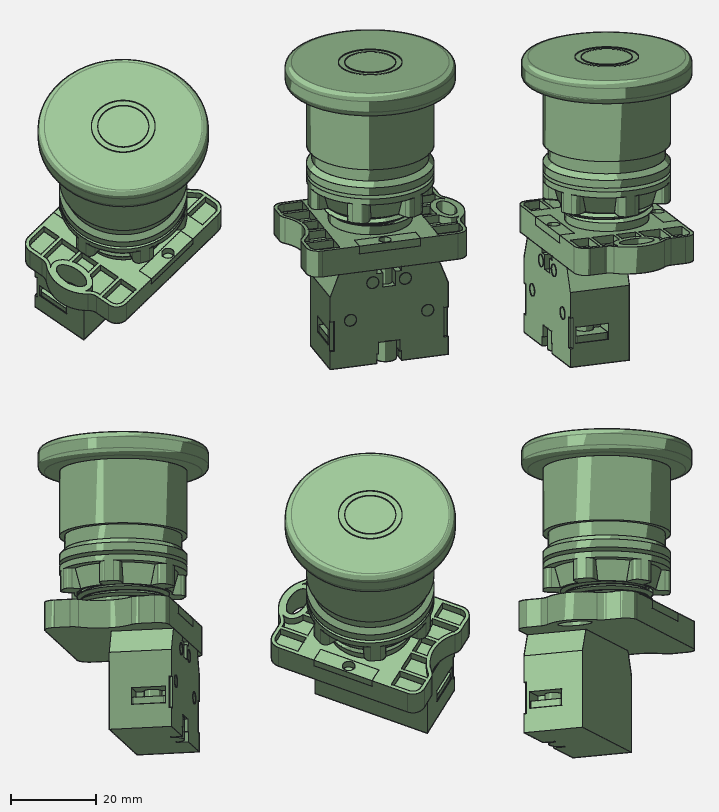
import cadquery as cq
import math


total_height = 70.5
cap_diameter = 40.0
total_depth = 42.8
cap_radius = cap_diameter / 2

plate_bottom_z = 24.0
plate_top_z = 30.6
nut_bottom_z = 35.6
nut_top_z = 41.95
collar_flange_z = 42.85
button_bottom_z = 49.4
cap_bottom_z = 64.85

body_radius = 29.95 / 2
cap_edge_radius = 1.5
ring_outer_radius = 7.5
ring_inner_radius = 6.0
ring_depth = 0.2

neck_radius = 13.75
flange_chamfer = body_radius - neck_radius
neck_bottom_z = 46.05
thread_radius = 10.85
stem_radius = 9.9
stem_shoulder_z = 37.4
thread_pitch = 1.5
thread_tooth_width = 1.4
thread_bottom_z = 32.9
thread_turns = 3
thread_root_sink = 0.1

nut_flange_thickness = 1.5
nut_hub_top_radius = 12.8
nut_hub_bottom_radius = 11.5
lug_count = 6
lug_width = 5.15
lug_edge_radius = 1.55

plate_width = 2 * body_radius
plate_half_depth = 19.7
plate_corner_radius = 2.95
lobe_radius = 9.65
lobe_tip_y = cap_radius - total_depth
lobe_center_y = lobe_tip_y + lobe_radius
wall_thickness = 0.9
pocket_depth = 2.0
pocket_inner_y = 12.1
rib_thickness = 0.85
rib_offsets = (-9.0, -2.8, 2.8, 9.0)
eye_half_length = 4.2
eye_half_width = 2.1
eye_rim = 1.5
eye_center_y = -18.8

clip_length = 15.1
clip_width = 3.75
clip_thickness = 2.0
clip_hole_diameter = 2.9
clip_hole_inset = 1.8
clip_hole_y = 0.6

block_left_x = -body_radius
block_width = 14.95
block_length = 29.1
block_center_y = 0.2
block_shoulder_z = 18.5
block_top_length = 24.9

post_inset = 2.9
upper_post_diameter = 3.1
upper_slot_bottom_z = 19.4
lower_post_diameter = 5.2
lower_slot_top_z = 5.35
step_width = 6.1
upper_step_height = 1.0
lower_step_height = 2.4

dimple_diameter = 2.95
dimple_depth = 0.15
upper_dimple_offset = 4.0
upper_dimple_z = 20.8
lower_dimple_offset = 9.5
lower_dimple_z = 11.9

notch_depth_x = 0.6
notch_depth_y = 1.05
notch_bottom_z = 4.6
notch_height = 7.55

terminal_width = 8.2
terminal_center_x = -9.45
terminal_bottom_z = 5.8
terminal_height = 3.95
terminal_depth = 4.9
clamp_height = 1.7
clamp_inset = 0.2
clamp_edge_radius = 0.5
terminal_screw_diameter = 4.2


def disc(radius, bottom_z, top_z):
    """Cylinder on the button axis between two heights."""
    return cq.Workplane("XY", origin=(0, 0, bottom_z)).circle(radius).extrude(top_z - bottom_z)


def block_of(x_range, y_range, z_range):
    """Box between the given lower and upper bounds on each axis."""
    (x0, x1), (y0, y1), (z0, z1) = x_range, y_range, z_range
    return cq.Workplane("XY").box(x1 - x0, y1 - y0, z1 - z0, centered=False).translate((x0, y0, z0))


def make_button():
    cap = disc(cap_radius, cap_bottom_z, total_height).edges().fillet(cap_edge_radius)
    ring_groove = disc(ring_outer_radius, total_height - ring_depth, total_height).cut(
        disc(ring_inner_radius, total_height - ring_depth, total_height)
    )
    return cap.union(disc(body_radius, button_bottom_z, cap_bottom_z)).cut(ring_groove)


def make_thread():
    """Helical ridge around the stem, trimmed flat where it starts."""
    start_z = thread_bottom_z - 0.75 * thread_pitch
    height = thread_turns * thread_pitch
    root_radius = stem_radius - thread_root_sink
    helix = cq.Wire.makeHelix(thread_pitch, height, root_radius)
    tooth = (
        cq.Workplane("XZ")
        .moveTo(root_radius, -thread_tooth_width / 2)
        .lineTo(thread_radius, 0)
        .lineTo(root_radius, thread_tooth_width / 2)
        .close()
        .sweep(cq.Workplane(obj=helix), isFrenet=True)
        .translate((0, 0, start_z))
    )
    return tooth.intersect(disc(body_radius, thread_bottom_z, stem_shoulder_z))


def make_collar():
    flange = disc(body_radius, collar_flange_z, neck_bottom_z).faces(">Z").edges().chamfer(flange_chamfer)
    neck = disc(neck_radius, neck_bottom_z, button_bottom_z)
    shoulder = disc(thread_radius, stem_shoulder_z, collar_flange_z)
    stem = disc(stem_radius, plate_top_z, stem_shoulder_z)
    return stem.union(make_thread()).union(shoulder).union(flange).union(neck)


def make_lock_nut():
    lug_top_z = nut_top_z - nut_flange_thickness
    hub_height = lug_top_z - nut_bottom_z
    hub = (
        cq.Workplane("XY", origin=(0, 0, nut_bottom_z))
        .circle(nut_hub_bottom_radius)
        .workplane(offset=hub_height)
        .circle(nut_hub_top_radius)
        .loft(ruled=True)
    )
    nut = disc(body_radius, lug_top_z, nut_top_z).union(hub)
    lug_envelope = block_of(
        (thread_radius, 2 * body_radius), (-lug_width / 2, lug_width / 2), (nut_bottom_z, lug_top_z)
    )
    lug = (
        disc(body_radius, nut_bottom_z, lug_top_z)
        .rotate((0, 0, 0), (0, 0, 1), 180)
        .intersect(lug_envelope)
        .edges("|Z")
        .edges(">X")
        .fillet(lug_edge_radius)
    )
    for index in range(lug_count):
        angle = (index + 0.5) * 360 / lug_count
        nut = nut.union(lug.rotate((0, 0, 0), (0, 0, 1), angle))
    return nut.cut(disc(thread_radius, nut_bottom_z, nut_top_z))


def plate_outline():
    """Plate outline: a lobe on the front edge and the same lobe cut into the back edge."""
    half_width = plate_width / 2
    blend_radius = plate_corner_radius
    blend_center_y = -plate_half_depth - blend_radius
    rise = lobe_center_y - blend_center_y
    blend_x = math.sqrt((lobe_radius + blend_radius) ** 2 - rise**2)
    contact_angle = math.atan2(rise, blend_x)
    lobe_x = lobe_radius * math.cos(contact_angle)
    lobe_y = lobe_center_y - lobe_radius * math.sin(contact_angle)
    mid_angle = (contact_angle + math.pi / 2) / 2
    blend_mid_x = blend_x - blend_radius * math.cos(mid_angle)
    blend_mid_y = blend_center_y + blend_radius * math.sin(mid_angle)
    back_shift = 2 * plate_half_depth
    corner_x = half_width - plate_corner_radius
    corner_y = plate_half_depth - plate_corner_radius
    corner_mid_x = corner_x + plate_corner_radius * math.sqrt(0.5)
    corner_mid_y = corner_y + plate_corner_radius * math.sqrt(0.5)
    return (
        cq.Workplane("XY", origin=(0, 0, plate_bottom_z))
        .moveTo(-corner_x, -plate_half_depth)
        .lineTo(-blend_x, -plate_half_depth)
        .threePointArc((-blend_mid_x, blend_mid_y), (-lobe_x, lobe_y))
        .threePointArc((0, lobe_tip_y), (lobe_x, lobe_y))
        .threePointArc((blend_mid_x, blend_mid_y), (blend_x, -plate_half_depth))
        .lineTo(corner_x, -plate_half_depth)
        .threePointArc((corner_mid_x, -corner_mid_y), (half_width, -corner_y))
        .lineTo(half_width, corner_y)
        .threePointArc((corner_mid_x, corner_mid_y), (corner_x, plate_half_depth))
        .lineTo(blend_x, plate_half_depth)
        .threePointArc((blend_mid_x, blend_mid_y + back_shift), (lobe_x, lobe_y + back_shift))
        .threePointArc((0, lobe_tip_y + back_shift), (-lobe_x, lobe_y + back_shift))
        .threePointArc((-blend_mid_x, blend_mid_y + back_shift), (-blend_x, plate_half_depth))
        .lineTo(-corner_x, plate_half_depth)
        .threePointArc((-corner_mid_x, corner_mid_y), (-half_width, corner_y))
        .lineTo(-half_width, -corner_y)
        .threePointArc((-corner_mid_x, -corner_mid_y), (-corner_x, -plate_half_depth))
        .close()
    )


def eye(margin):
    """Oval prism around the eyelet, as tall as the plate and larger than the hole by the margin."""
    return (
        cq.Workplane("XY", origin=(0, eye_center_y, plate_bottom_z))
        .ellipse(eye_half_length + margin, eye_half_width + margin)
        .extrude(plate_top_z - plate_bottom_z)
    )


def plate_pockets():
    """Rows of pockets along the front and back edges, split by ribs."""
    pocket_range = (plate_top_z - pocket_depth, plate_top_z)
    pockets = plate_outline().offset2D(-wall_thickness).extrude(plate_top_z - plate_bottom_z)
    pockets = pockets.intersect(
        block_of((-plate_width, plate_width), (-total_depth, total_depth), pocket_range)
    )
    pockets = pockets.cut(
        block_of((-plate_width, plate_width), (-pocket_inner_y, pocket_inner_y), pocket_range)
    )
    for rib_x in rib_offsets:
        rib_range = (rib_x - rib_thickness / 2, rib_x + rib_thickness / 2)
        pockets = pockets.cut(block_of(rib_range, (-total_depth, total_depth), pocket_range))
    return pockets.cut(eye(eye_rim))


def clip_blank(side):
    """Plain clip shape at the left (-1) or right (+1) edge of the plate."""
    center_x = side * (plate_width - clip_width) / 2
    return (
        cq.Workplane("XY", origin=(center_x, 0, plate_top_z - clip_thickness))
        .rect(clip_width, clip_length)
        .extrude(clip_thickness)
    )


def make_plate():
    plate = plate_outline().extrude(plate_top_z - plate_bottom_z).cut(plate_pockets()).cut(eye(0))
    for side in (-1, 1):
        plate = plate.cut(clip_blank(side))
    return plate


def make_clip(side):
    hole = (
        cq.Workplane("XY", origin=(side * (plate_width / 2 - clip_hole_inset), clip_hole_y, plate_bottom_z))
        .circle(clip_hole_diameter / 2)
        .extrude(plate_top_z - plate_bottom_z)
    )
    return clip_blank(side).cut(hole)


def left_face_slot(width, bottom_z, top_z):
    """Slot in the left face, as deep as the axes of the posts."""
    return block_of(
        (block_left_x, block_left_x + post_inset),
        (block_center_y - width / 2, block_center_y + width / 2),
        (bottom_z, top_z),
    )


def post(diameter, bottom_z, top_z):
    """Round post in a left-face slot."""
    return (
        cq.Workplane("XY", origin=(block_left_x + post_inset, block_center_y, bottom_z))
        .circle(diameter / 2)
        .extrude(top_z - bottom_z)
    )


def block_profile():
    """Block with sloping shoulders on its front and back ends."""
    half_length = block_length / 2
    half_top = block_top_length / 2
    return (
        cq.Workplane("YZ", origin=(block_left_x, block_center_y, 0))
        .moveTo(-half_length, 0)
        .lineTo(half_length, 0)
        .lineTo(half_length, block_shoulder_z)
        .lineTo(half_top, plate_bottom_z)
        .lineTo(-half_top, plate_bottom_z)
        .lineTo(-half_length, block_shoulder_z)
        .close()
        .extrude(block_width)
    )


def dimples():
    points = []
    for side in (-1, 1):
        points.append((block_center_y + side * upper_dimple_offset, upper_dimple_z))
        points.append((block_center_y + side * lower_dimple_offset, lower_dimple_z))
    return (
        cq.Workplane("YZ", origin=(block_left_x, 0, 0))
        .pushPoints(points)
        .circle(dimple_diameter / 2)
        .extrude(dimple_depth)
    )


def corner_notch():
    """Notch in the front left corner of the block."""
    front_y = block_center_y - block_length / 2
    return block_of(
        (block_left_x, block_left_x + notch_depth_x),
        (front_y, front_y + notch_depth_y),
        (notch_bottom_z, notch_bottom_z + notch_height),
    )


def terminal_opening():
    """Space around the clamp and screw in the front end of the block."""
    front_y = block_center_y - block_length / 2
    back_y = front_y + terminal_depth
    x_range = (terminal_center_x - terminal_width / 2, terminal_center_x + terminal_width / 2)
    top_z = terminal_bottom_z + terminal_height
    clamp_top_z = terminal_bottom_z + clamp_height
    opening = block_of(x_range, (front_y, back_y), (terminal_bottom_z, top_z))
    clamp = (
        block_of(x_range, (front_y + clamp_inset, back_y), (terminal_bottom_z, clamp_top_z))
        .edges("|Z and <Y")
        .fillet(clamp_edge_radius)
    )
    screw = (
        cq.Workplane("XY", origin=(terminal_center_x, back_y, terminal_bottom_z))
        .circle(terminal_screw_diameter / 2)
        .extrude(terminal_height)
    )
    return opening.cut(clamp).cut(screw)


def make_contact_block():
    block = block_profile().cut(dimples())

    upper_step_z = plate_bottom_z - upper_step_height
    block = block.cut(left_face_slot(upper_post_diameter, upper_slot_bottom_z, plate_bottom_z))
    block = block.cut(left_face_slot(step_width, upper_step_z, plate_bottom_z))
    block = block.union(post(upper_post_diameter, upper_slot_bottom_z, plate_bottom_z))

    block = block.cut(left_face_slot(lower_post_diameter, 0, lower_slot_top_z))
    block = block.cut(left_face_slot(step_width, 0, lower_step_height))
    block = block.union(post(lower_post_diameter, 0, lower_slot_top_z))

    mid_plane_point = (0, block_center_y, 0)
    for cutter in (corner_notch(), terminal_opening()):
        block = block.cut(cutter).cut(cutter.mirror("XZ", mid_plane_point))
    return block


button = make_button()
collar = make_collar()
lock_nut = make_lock_nut()
plate = make_plate()
clips = [make_clip(side) for side in (-1, 1)]
contact_block = make_contact_block()

result = cq.Compound.makeCompound(
    [
        button.val(),
        collar.val(),
        lock_nut.val(),
        plate.val(),
        *[clip.val() for clip in clips],
        contact_block.val(),
    ]
)